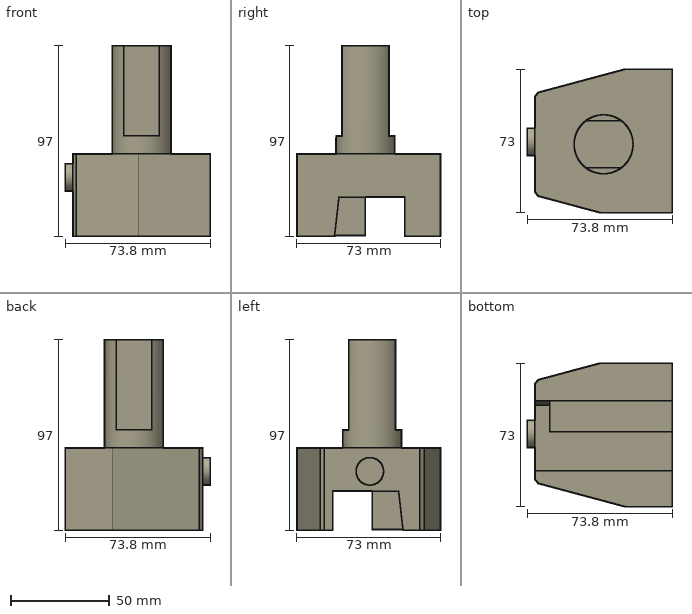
import cadquery as cq
import math

TOTAL_HEIGHT = 97.0

BLOCK_LENGTH = 69.9
BLOCK_HEIGHT = 41.9
WIDE_SIDE_Y = 38.2
NARROW_SIDE_Y = -34.8
NOSE_HALF_WIDTH = 24.25
NOSE_CHAMFER_X = 1.7
NOSE_CHAMFER_Y = 2.1
TAPER_ANGLE = 15.0

SHANK_DIAMETER = 30.0
FLAT_SPACING = 24.0
FLATS_BOTTOM_Z = 51.0

STUD_DIAMETER = 14.0
STUD_PROTRUSION = 3.9
STUD_Y = 1.2
STUD_Z = 30.0

SLOT_DEPTH = 19.9
SLOT_UPRIGHT_WALL_Y = 19.9
SLOT_SLOPING_TOP_Y = -13.5
SLOT_SLOPING_BOTTOM_Y = -15.7

WEDGE_CLAMP_FACE_Y = 0.0
WEDGE_SETBACK = 7.6
WEDGE_BOTTOM_Z = 0.4

NOSE_X = -BLOCK_LENGTH / 2
BACK_X = BLOCK_LENGTH / 2


def sloping_wall_y(z):
    """Y of the sloping slot wall at height z."""
    slope = (SLOT_SLOPING_TOP_Y - SLOT_SLOPING_BOTTOM_Y) / SLOT_DEPTH
    return SLOT_SLOPING_BOTTOM_Y + slope * z


def prism_along_x(outline, start_x):
    """Extrude a (Y, Z) outline from start_x to the back of the block."""
    plane = cq.Workplane("YZ", origin=(start_x, 0, 0))
    return plane.polyline(outline).close().extrude(BACK_X - start_x)


def make_block():
    """Block whose two sides taper towards a chamfered nose."""
    taper_x = NOSE_X + NOSE_CHAMFER_X
    taper_y = NOSE_HALF_WIDTH + NOSE_CHAMFER_Y
    slope = math.tan(math.radians(TAPER_ANGLE))
    wide_start_x = taper_x + (WIDE_SIDE_Y - taper_y) / slope
    narrow_start_x = taper_x + (-NARROW_SIDE_Y - taper_y) / slope
    outline = [
        (BACK_X, NARROW_SIDE_Y),
        (BACK_X, WIDE_SIDE_Y),
        (wide_start_x, WIDE_SIDE_Y),
        (taper_x, taper_y),
        (NOSE_X, NOSE_HALF_WIDTH),
        (NOSE_X, -NOSE_HALF_WIDTH),
        (taper_x, -taper_y),
        (narrow_start_x, NARROW_SIDE_Y),
    ]
    return cq.Workplane("XY").polyline(outline).close().extrude(BLOCK_HEIGHT)


def make_slot():
    """Volume of the tool slot, running the full length of the block."""
    outline = [
        (SLOT_UPRIGHT_WALL_Y, 0),
        (SLOT_UPRIGHT_WALL_Y, SLOT_DEPTH),
        (SLOT_SLOPING_TOP_Y, SLOT_DEPTH),
        (SLOT_SLOPING_BOTTOM_Y, 0),
    ]
    return prism_along_x(outline, NOSE_X)


def make_shank():
    """Round shank, flattened on its -Y and +Y sides above a short collar."""
    shank_length = TOTAL_HEIGHT - BLOCK_HEIGHT
    shank = cq.Workplane("XY", origin=(0, 0, BLOCK_HEIGHT)).circle(SHANK_DIAMETER / 2).extrude(shank_length)
    flats_length = TOTAL_HEIGHT - FLATS_BOTTOM_Z
    flats_plane = cq.Workplane("XY", origin=(0, 0, FLATS_BOTTOM_Z))
    outside_flats = (
        flats_plane.rect(SHANK_DIAMETER, 2 * SHANK_DIAMETER)
        .rect(SHANK_DIAMETER, FLAT_SPACING)
        .extrude(flats_length)
    )
    return shank.cut(outside_flats)


def make_stud():
    """Short round stud standing out of the nose."""
    plane = cq.Workplane("YZ", origin=(NOSE_X, STUD_Y, STUD_Z))
    return plane.circle(STUD_DIAMETER / 2).extrude(-STUD_PROTRUSION)


def make_holder():
    """Block, shank and stud in one piece, with the tool slot cut out."""
    return make_block().cut(make_slot()).union(make_shank()).union(make_stud())


def make_wedge():
    """Wedge lying against the sloping slot wall, set back from the nose."""
    outline = [
        (WEDGE_CLAMP_FACE_Y, WEDGE_BOTTOM_Z),
        (WEDGE_CLAMP_FACE_Y, SLOT_DEPTH),
        (SLOT_SLOPING_TOP_Y, SLOT_DEPTH),
        (sloping_wall_y(WEDGE_BOTTOM_Z), WEDGE_BOTTOM_Z),
    ]
    return prism_along_x(outline, NOSE_X + WEDGE_SETBACK)


holder = make_holder()
wedge = make_wedge()

result = cq.Compound.makeCompound([holder.solids().val(), wedge.val()])